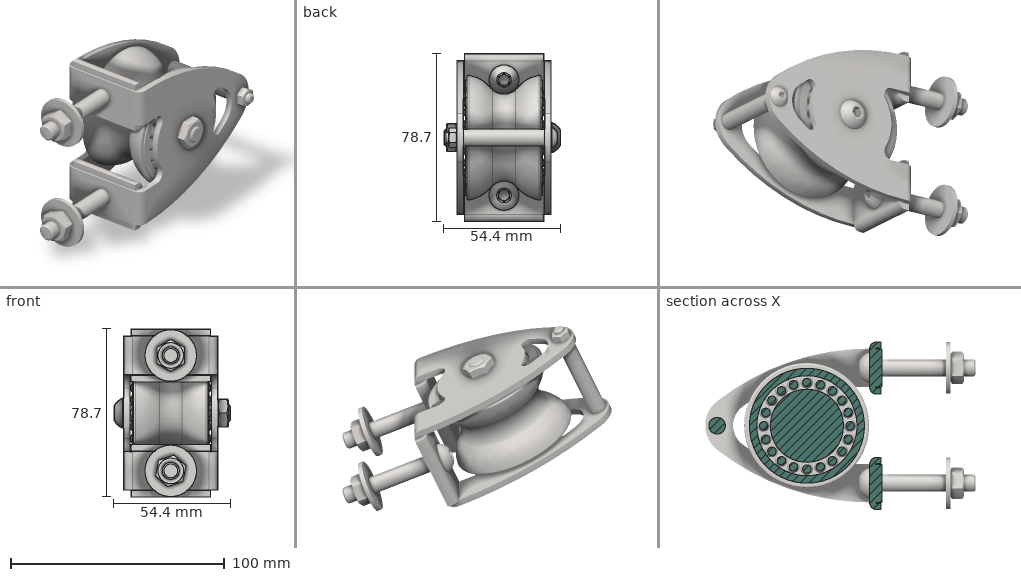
import cadquery as cq
import math


SHEET = 3.0
BRACKET_WIDTH = 44.0
BRACKET_HEIGHT = 72.0
NOSE_Y = 47.4
FRONT_Y = -35.3
BEND_RADIUS = 4.0
NOSE_RADIUS = 14.4
ARCH_START_Y = -29.7
TAB_GAP = 35.9
NOTCH_RADIUS = 22.3
NOTCH_CORNER_RADIUS = 4.0
SLOT_RADIUS = 22.5
SLOT_END_RADIUS = 3.0
SLOT_HEIGHT = 25.3
SLOT_NOSE_RADIUS = 11.0
SLOT_NOSE_Y = 34.4
HALF_WIDTH = BRACKET_WIDTH / 2
HALF_HEIGHT = BRACKET_HEIGHT / 2
INNER_HALF_WIDTH = HALF_WIDTH - SHEET
TAB_Z = (HALF_HEIGHT + TAB_GAP / 2) / 2

CHANNEL_LENGTH = 37.2
CHANNEL_HEIGHT = 24.7
CHANNEL_BEND = 3.4
CHANNEL_FRONT_SETBACK = 0.5
CHANNEL_BACK_Y = FRONT_Y + 2 * SHEET

ROLLER_RADIUS = 29.2
RIM_HALF_WIDTH = 17.3
RIM_FILLET = 0.9
GROOVE_RADIUS = 20.4
GROOVE_ARC_RADIUS = 8.0
GROOVE_HALF_WIDTH = 5.3
FLANK_BULGE = 1.3
SIDE_DISC_RADIUS = 54.0 / 2
SIDE_DISC_X = 18.0

BALL_COUNT = 20
BALL_RADIUS = 2.9
BALL_X = 16.0
RACE_RADIUS = 20.2
RACE_HALF_WIDTH = 3.0

LARGE_DIAMETER = 8.0
LARGE_HEAD_DIAMETER = 14.0
LARGE_HEAD_TOP = 6.8
LARGE_HEAD_HEIGHT = 4.4
LARGE_SOCKET = 5.0
LARGE_SOCKET_DEPTH = 2.5
LARGE_NUT = 13.0
LARGE_NUT_CHAMFER = 1.0
MOUNT_NUT_HEIGHT = 6.5
AXLE_NUT_HEIGHT = 4.9
SMALL_DIAMETER = 5.0
SMALL_HEAD_DIAMETER = 9.5
SMALL_HEAD_TOP = 4.3
SMALL_HEAD_HEIGHT = 2.9
SMALL_SOCKET = 3.0
SMALL_SOCKET_DEPTH = 1.5
SMALL_NUT = 8.0
SMALL_NUT_CHAMFER = 0.6
SMALL_NUT_HEIGHT = 3.9
HEAD_LIP = 0.5
TIP_CHAMFER = 0.8
THREAD_END_X = 28.0
MOUNT_END_Y = -79.0
WASHER_FACE_Y = -65.1
WASHER_DIAMETER = 24.0
WASHER_THICKNESS = 2.0
LOWER_NUT_TURN = -11.0
NOSE_BOLT_Y = 42.0
SPACER_DIAMETER = 8.0


def side_outline():
    """Side plate: pointed arch outline, open to -Y between the two tabs."""
    nose_center = NOSE_Y - NOSE_RADIUS
    run = nose_center - ARCH_START_Y
    flank_radius = (run**2 + HALF_HEIGHT**2 - NOSE_RADIUS**2) / (2 * (HALF_HEIGHT - NOSE_RADIUS))
    flank_drop = flank_radius - HALF_HEIGHT
    sweep = math.atan2(run, flank_drop)
    mid_y = ARCH_START_Y + flank_radius * math.sin(sweep / 2)
    mid_z = flank_radius * math.cos(sweep / 2) - flank_drop
    join_y = nose_center + NOSE_RADIUS * math.sin(sweep)
    join_z = NOSE_RADIUS * math.cos(sweep)

    gap = TAB_GAP / 2
    corner_z = gap - NOTCH_CORNER_RADIUS
    corner_reach = NOTCH_RADIUS + NOTCH_CORNER_RADIUS
    corner_y = -math.sqrt(corner_reach**2 - corner_z**2)
    touch_y = corner_y * NOTCH_RADIUS / corner_reach
    touch_z = corner_z * NOTCH_RADIUS / corner_reach
    corner_side = corner_y + NOTCH_CORNER_RADIUS

    return (
        cq.Workplane("YZ")
        .moveTo(FRONT_Y, HALF_HEIGHT)
        .lineTo(ARCH_START_Y, HALF_HEIGHT)
        .threePointArc((mid_y, mid_z), (join_y, join_z))
        .threePointArc((NOSE_Y, 0), (join_y, -join_z))
        .threePointArc((mid_y, -mid_z), (ARCH_START_Y, -HALF_HEIGHT))
        .lineTo(FRONT_Y, -HALF_HEIGHT)
        .lineTo(FRONT_Y, -gap)
        .lineTo(corner_y, -gap)
        .threePointArc((corner_side, -corner_z), (touch_y, -touch_z))
        .threePointArc((-NOTCH_RADIUS, 0), (touch_y, touch_z))
        .threePointArc((corner_side, corner_z), (corner_y, gap))
        .lineTo(FRONT_Y, gap)
        .close()
    )


def nose_slot_outline():
    """Crescent slot: inner arc about the roller axis, round ends, rounded point towards the nose."""
    end_z = SLOT_HEIGHT / 2 - SLOT_END_RADIUS
    end_reach = SLOT_RADIUS + SLOT_END_RADIUS
    end_y = math.sqrt(end_reach**2 - end_z**2)
    touch_y = end_y * SLOT_RADIUS / end_reach
    touch_z = end_z * SLOT_RADIUS / end_reach

    nose_center = SLOT_NOSE_Y - SLOT_NOSE_RADIUS
    spacing = math.hypot(end_y - nose_center, end_z)
    toward_end = math.atan2(end_z, end_y - nose_center)
    normal = toward_end - math.acos((SLOT_NOSE_RADIUS - SLOT_END_RADIUS) / spacing)
    normal_y = math.cos(normal)
    normal_z = math.sin(normal)
    nose_y = nose_center + SLOT_NOSE_RADIUS * normal_y
    nose_z = SLOT_NOSE_RADIUS * normal_z
    line_y = end_y + SLOT_END_RADIUS * normal_y
    line_z = end_z + SLOT_END_RADIUS * normal_z

    return (
        cq.Workplane("YZ")
        .moveTo(touch_y, -touch_z)
        .threePointArc((SLOT_RADIUS, 0), (touch_y, touch_z))
        .threePointArc((end_y, SLOT_HEIGHT / 2), (line_y, line_z))
        .lineTo(nose_y, nose_z)
        .threePointArc((SLOT_NOSE_Y, 0), (nose_y, -nose_z))
        .lineTo(line_y, -line_z)
        .threePointArc((end_y, -SLOT_HEIGHT / 2), (touch_y, -touch_z))
        .close()
    )


def make_bracket():
    """U-shaped sheet cut to the side outline; its front is left as two tabs."""
    length = NOSE_Y - FRONT_Y
    outside = (
        cq.Workplane("XY")
        .box(BRACKET_WIDTH, length, BRACKET_HEIGHT)
        .translate((0, FRONT_Y + length / 2, 0))
        .edges("|Z and <Y")
        .fillet(BEND_RADIUS)
    )
    inside = (
        cq.Workplane("XY")
        .box(2 * INNER_HALF_WIDTH, length, BRACKET_HEIGHT)
        .translate((0, FRONT_Y + SHEET + length / 2, 0))
        .edges("|Z and <Y")
        .fillet(BEND_RADIUS - SHEET)
    )
    outline = side_outline().extrude(HALF_WIDTH, both=True)
    slots = nose_slot_outline().extrude(HALF_WIDTH, both=True)
    return outside.cut(inside).intersect(outline).cut(slots)


def make_channel(center_z):
    """Channel behind one tab, with flanges wrapping its upper and lower edges."""
    front_y = FRONT_Y + CHANNEL_FRONT_SETBACK
    depth = CHANNEL_BACK_Y - front_y
    center = (0, CHANNEL_BACK_Y - depth / 2, center_z)
    outside = (
        cq.Workplane("XY")
        .box(CHANNEL_LENGTH, depth, CHANNEL_HEIGHT)
        .edges("|X and >Y")
        .fillet(CHANNEL_BEND)
    )
    inside = (
        cq.Workplane("XY")
        .box(CHANNEL_LENGTH, depth, CHANNEL_HEIGHT - 2 * SHEET)
        .translate((0, -SHEET, 0))
        .edges("|X and >Y")
        .fillet(CHANNEL_BEND - SHEET)
    )
    return outside.cut(inside).translate(center)


def make_race():
    """Annular recess to be cut from the +X side face of the roller."""
    return (
        cq.Workplane("YZ", origin=(BALL_X, 0, 0))
        .circle(RACE_RADIUS + RACE_HALF_WIDTH)
        .circle(RACE_RADIUS - RACE_HALF_WIDTH)
        .extrude(SIDE_DISC_X - BALL_X)
    )


def make_balls():
    """Evenly spaced balls half sunk in the floor of the race."""
    return (
        cq.Workplane("YZ", origin=(BALL_X, 0, 0))
        .polarArray(RACE_RADIUS, 0, 360, BALL_COUNT)
        .sphere(BALL_RADIUS)
    )


def make_roller():
    """Grooved roller turned about X, with a ring of balls in each side face."""
    groove_edge = GROOVE_RADIUS + GROOVE_ARC_RADIUS - math.sqrt(GROOVE_ARC_RADIUS**2 - GROOVE_HALF_WIDTH**2)
    rim_x = RIM_HALF_WIDTH - RIM_FILLET
    flank_angle = math.atan2(ROLLER_RADIUS - groove_edge, rim_x - GROOVE_HALF_WIDTH)
    flank_mid = (
        (GROOVE_HALF_WIDTH + rim_x) / 2 - FLANK_BULGE * math.sin(flank_angle),
        (groove_edge + ROLLER_RADIUS) / 2 + FLANK_BULGE * math.cos(flank_angle),
    )
    fillet_mid = RIM_FILLET * (1 - math.sqrt(0.5))
    groove = (
        cq.Workplane("XY")
        .moveTo(-GROOVE_HALF_WIDTH, 0)
        .lineTo(-GROOVE_HALF_WIDTH, groove_edge)
        .threePointArc((0, GROOVE_RADIUS), (GROOVE_HALF_WIDTH, groove_edge))
        .lineTo(GROOVE_HALF_WIDTH, 0)
        .close()
        .revolve(360, (0, 0, 0), (1, 0, 0))
    )
    cheek = (
        cq.Workplane("XY")
        .moveTo(GROOVE_HALF_WIDTH, 0)
        .lineTo(GROOVE_HALF_WIDTH, groove_edge)
        .threePointArc(flank_mid, (rim_x, ROLLER_RADIUS))
        .threePointArc(
            (RIM_HALF_WIDTH - fillet_mid, ROLLER_RADIUS - fillet_mid),
            (RIM_HALF_WIDTH, ROLLER_RADIUS - RIM_FILLET),
        )
        .lineTo(RIM_HALF_WIDTH, SIDE_DISC_RADIUS)
        .lineTo(SIDE_DISC_X, SIDE_DISC_RADIUS)
        .lineTo(SIDE_DISC_X, 0)
        .close()
        .revolve(360, (0, 0, 0), (1, 0, 0))
    )
    cheek = cheek.cut(make_race()).union(make_balls())
    return groove.union(cheek).union(cheek.mirror("YZ"))


def corner_diameter(across_flats):
    return across_flats / math.cos(math.pi / 6)


def make_bolt(diameter, length, head_diameter, head_top, head_height, socket, socket_depth):
    """Button-head bolt along local Z: head below z = 0, shank above."""
    head_radius = head_diameter / 2
    top_radius = head_top / 2
    dome_height = head_height - HEAD_LIP
    sphere_z = (head_radius**2 - top_radius**2 - dome_height**2) / (2 * dome_height)
    sphere_radius = math.hypot(head_radius, sphere_z)
    mid_height = dome_height / 2
    mid_radius = math.sqrt(sphere_radius**2 - (sphere_z + mid_height)**2)
    profile = (
        cq.Workplane("XZ")
        .moveTo(0, -head_height)
        .lineTo(top_radius, -head_height)
        .threePointArc((mid_radius, -HEAD_LIP - mid_height), (head_radius, -HEAD_LIP))
        .lineTo(head_radius, 0)
        .lineTo(diameter / 2, 0)
        .lineTo(diameter / 2, length - TIP_CHAMFER)
        .lineTo(diameter / 2 - TIP_CHAMFER, length)
        .lineTo(0, length)
        .close()
    )
    bolt = profile.revolve(360, (0, 0, 0), (0, 1, 0))
    floor_z = socket_depth - head_height
    hexagon = (
        cq.Workplane("XY", origin=(0, 0, -head_height))
        .polygon(6, corner_diameter(socket))
        .extrude(socket_depth)
    )
    drill_radius = socket / 2
    drill_point = cq.Workplane(
        cq.Solid.makeCone(drill_radius, 0, drill_radius / 2, pnt=cq.Vector(0, 0, floor_z))
    )
    return bolt.cut(hexagon).cut(drill_point)


def make_nut(across_flats, height, chamfer, turn=0):
    """Hexagon nut on local z = 0 with conical chamfers on both faces; one corner on local X."""
    corner = corner_diameter(across_flats) / 2
    hexagon = (
        cq.Workplane("XY")
        .polygon(6, 2 * corner)
        .extrude(height)
        .rotate((0, 0, 0), (0, 0, 1), turn)
    )
    envelope = (
        cq.Workplane("XY")
        .circle(corner + chamfer / 2)
        .extrude(height)
        .faces("<Z or >Z")
        .chamfer(chamfer, 2 * chamfer)
    )
    return hexagon.intersect(envelope)


def place(body, origin, direction, corner_direction):
    """Lay a fastener's local Z along direction, with its hexagon corner along corner_direction."""
    plane = cq.Plane(origin=origin, xDir=corner_direction, normal=direction)
    return cq.Workplane(body.val().moved(cq.Location(plane)))


def make_mounting_bolt(center_z, nut_turn):
    """Bolt through one tab towards -Y, with a loose washer and nut near its end."""
    bolt = make_bolt(
        LARGE_DIAMETER, CHANNEL_BACK_Y - MOUNT_END_Y, LARGE_HEAD_DIAMETER, LARGE_HEAD_TOP,
        LARGE_HEAD_HEIGHT, LARGE_SOCKET, LARGE_SOCKET_DEPTH,
    )
    washer_z = CHANNEL_BACK_Y - WASHER_FACE_Y
    washer = (
        cq.Workplane("XY", origin=(0, 0, washer_z))
        .circle(WASHER_DIAMETER / 2)
        .extrude(WASHER_THICKNESS)
    )
    nut = make_nut(LARGE_NUT, MOUNT_NUT_HEIGHT, LARGE_NUT_CHAMFER, nut_turn)
    nut = nut.translate((0, 0, washer_z + WASHER_THICKNESS))
    assembly = bolt.union(washer).union(nut)
    return place(assembly, (0, CHANNEL_BACK_Y, center_z), (0, -1, 0), (0, 0, 1))


def make_axle():
    """Bolt through both side plates on the roller axis, nut on the +X side."""
    bolt = make_bolt(
        LARGE_DIAMETER, HALF_WIDTH + THREAD_END_X, LARGE_HEAD_DIAMETER, LARGE_HEAD_TOP,
        LARGE_HEAD_HEIGHT, LARGE_SOCKET, LARGE_SOCKET_DEPTH,
    )
    nut = make_nut(LARGE_NUT, AXLE_NUT_HEIGHT, LARGE_NUT_CHAMFER).translate((0, 0, BRACKET_WIDTH))
    return place(bolt.union(nut), (-HALF_WIDTH, 0, 0), (1, 0, 0), (0, 1, 0))


def make_nose_bolt():
    """Small bolt across the nose, with a spacer tube between the side plates."""
    bolt = make_bolt(
        SMALL_DIAMETER, HALF_WIDTH + THREAD_END_X, SMALL_HEAD_DIAMETER, SMALL_HEAD_TOP,
        SMALL_HEAD_HEIGHT, SMALL_SOCKET, SMALL_SOCKET_DEPTH,
    )
    spacer = (
        cq.Workplane("XY", origin=(0, 0, SHEET))
        .circle(SPACER_DIAMETER / 2)
        .extrude(2 * INNER_HALF_WIDTH)
    )
    nut = make_nut(SMALL_NUT, SMALL_NUT_HEIGHT, SMALL_NUT_CHAMFER).translate((0, 0, BRACKET_WIDTH))
    assembly = bolt.union(spacer).union(nut)
    return place(assembly, (-HALF_WIDTH, NOSE_BOLT_Y, 0), (1, 0, 0), (0, 0, 1))


result = make_bracket().union(make_roller()).union(make_axle()).union(make_nose_bolt())
for tab_z, nut_turn in ((TAB_Z, 0), (-TAB_Z, LOWER_NUT_TURN)):
    result = result.union(make_channel(tab_z)).union(make_mounting_bolt(tab_z, nut_turn))